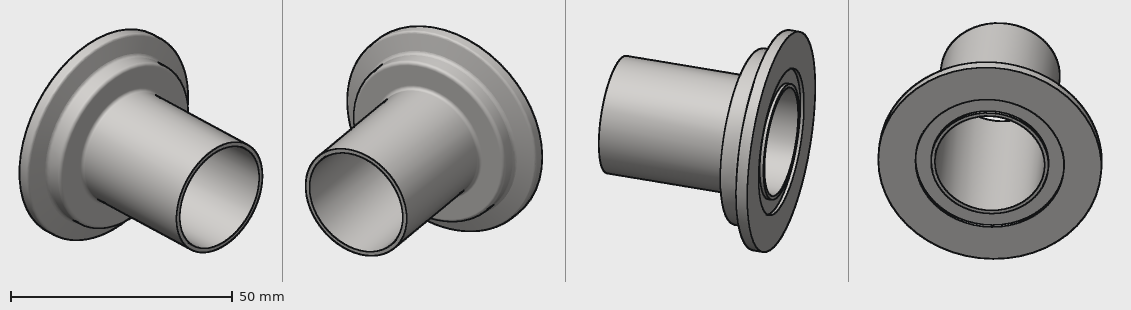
import cadquery as cq
import math

total_length = 39.0
hub_end = 8.25
hub_taper_corner = 4.05
groove_depth = 0.85

flange_radius = 25.25
hub_radius = 20.25
tube_radius = 13.5
groove_outer_radius = 16.8
groove_inner_radius = 13.3
bore_radius = 12.4

taper_angle = 15.0
taper_length = (flange_radius - hub_radius) * math.tan(math.radians(taper_angle))
rim_taper_corner = hub_taper_corner - taper_length

rim_fillet = 0.65
shoulder_fillet = 0.85

position_tolerance = 0.005


def is_rim(edge):
    """True for an edge at the back corner of the flange rim."""
    return abs(edge.Center().x - rim_taper_corner) < position_tolerance


def is_shoulder(edge):
    """True for an edge lying between the rim and the tube end."""
    first_shoulder = hub_taper_corner - position_tolerance
    return first_shoulder < edge.Center().x < total_length - position_tolerance


def make_body():
    """Flange, hub and tube revolved about X, with rounded steps."""
    body = (
        cq.Workplane("XY")
        .moveTo(0, 0)
        .lineTo(0, flange_radius)
        .lineTo(rim_taper_corner, flange_radius)
        .lineTo(hub_taper_corner, hub_radius)
        .lineTo(hub_end, hub_radius)
        .lineTo(hub_end, tube_radius)
        .lineTo(total_length, tube_radius)
        .lineTo(total_length, 0)
        .close()
        .revolve(360, (0, 0, 0), (1, 0, 0))
    )
    body = body.edges("%CIRCLE").filter(is_shoulder).fillet(shoulder_fillet)
    return body.edges("%CIRCLE").filter(is_rim).fillet(rim_fillet)


def make_bore():
    """Through hole along the whole axis."""
    return cq.Workplane("YZ").circle(bore_radius).extrude(total_length)


def make_groove():
    """Shallow ring groove in the sealing face, leaving a thin lip around the bore."""
    return (
        cq.Workplane("YZ")
        .circle(groove_outer_radius)
        .circle(groove_inner_radius)
        .extrude(groove_depth)
    )


result = make_body().cut(make_bore()).cut(make_groove())